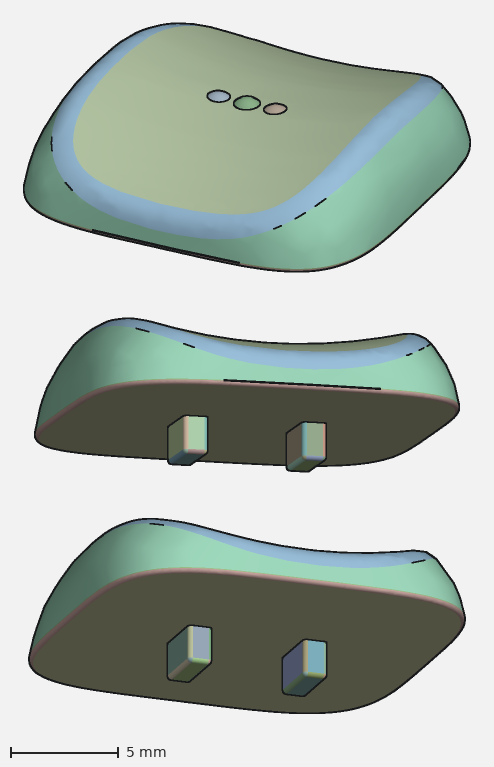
import cadquery as cq
import math

half_side = 8.98
wall_foot = 0.23
wall_radius = 6.11
squareness_base = 4.3
squareness_drop = 0.3895
section_heights = (wall_foot, 1.25, 2.34, 3.41, 4.5)
points_per_section = 40

dish_bottom = 3.49
dish_radius = 27.67
crown_radius = 22.46
crown_overhang = 1.8
rim_fillet = 1.22
base_fillet = 0.2

bump_pitch = 1.5
bump_radius = 0.83
middle_bump_rise = 0.29
side_bump_rise = 0.2

leg_offset = 2.85
leg_width = 1.19
leg_depth = 3.0
leg_length = 1.78
leg_fillet = 0.2


def outline(height):
    """Closed superellipse section of the cap walls at a given height."""
    rise = height - wall_foot
    inset = wall_radius - math.sqrt(wall_radius**2 - rise**2)
    half = half_side - inset
    power = squareness_base - squareness_drop * height
    points = []
    for i in range(points_per_section):
        angle = 2 * math.pi * i / points_per_section
        c = math.cos(angle)
        s = math.sin(angle)
        reach = half / (abs(c) ** power + abs(s) ** power) ** (1 / power)
        points.append(cq.Vector(reach * c, reach * s, height))
    return cq.Wire.assembleEdges([cq.Edge.makeSpline(points, periodic=True)])


def dish_height(x):
    """Height of the top along the X axis."""
    return dish_bottom + dish_radius - math.sqrt(dish_radius**2 - x**2)


def make_walls():
    """Short straight foot with the inward-leaning walls lofted on top of it."""
    foot = cq.Solid.extrudeLinear(outline(wall_foot), [], cq.Vector(0, 0, -wall_foot))
    upper = cq.Solid.makeLoft([outline(z) for z in section_heights])
    return cq.Workplane(foot).union(cq.Workplane(upper))


def make_crown():
    """Solid under the top surface: the dish arc swung about an axis along X."""
    reach = half_side + crown_overhang
    axis = dish_bottom - crown_radius
    return (
        cq.Workplane("XZ")
        .moveTo(-reach, axis)
        .lineTo(-reach, dish_height(reach))
        .threePointArc((0, dish_bottom), (reach, dish_height(reach)))
        .lineTo(reach, axis)
        .close()
        .revolve(360, (-reach, axis), (reach, axis))
    )


def make_bump(x, rise):
    """Ball sunk into the top so that its crest stands a given rise above it."""
    center_height = dish_height(x) + rise - bump_radius
    return cq.Workplane("XY").sphere(bump_radius).translate((x, 0, center_height))


def make_leg(x):
    """Rounded leg hanging from the underside."""
    leg = cq.Workplane("XY").rect(leg_width, leg_depth).extrude(-leg_length)
    return leg.edges("|Z or <Z").fillet(leg_fillet).translate((x, 0, 0))


cap = make_walls().intersect(make_crown())
cap = cap.faces(">Z").edges().fillet(rim_fillet)
cap = cap.faces("<Z").edges().fillet(base_fillet)

for x, rise in ((-bump_pitch, side_bump_rise), (0, middle_bump_rise), (bump_pitch, side_bump_rise)):
    cap = cap.union(make_bump(x, rise))

for x in (-leg_offset, leg_offset):
    cap = cap.union(make_leg(x))

result = cap